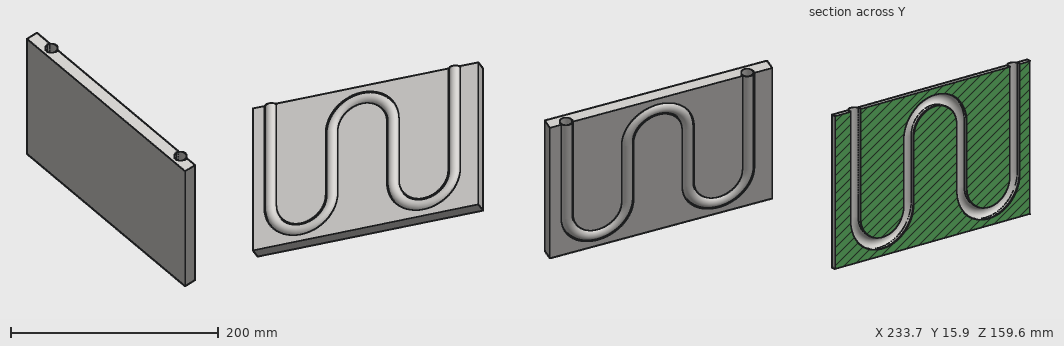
import cadquery as cq


plate_length = 233.68
plate_thickness = 12.7
plate_height = 159.6

overall_thickness = 15.9
tube_diameter = 12.7
tube_wall = 0.4
tube_radius = tube_diameter / 2
bore_radius = tube_radius - tube_wall
tube_axis_y = overall_thickness - tube_radius

leg_count = 4
bend_radius = 31.75
leg_spacing = 2 * bend_radius
route_offset_x = 3.4
bend_edge_margin = 13.3
first_leg_x = (plate_length - (leg_count - 1) * leg_spacing) / 2 + route_offset_x
low_bend_z = bend_edge_margin + bend_radius
high_bend_z = plate_height - low_bend_z


def serpentine_route():
    """Tube axis, from the top of the first leg to the top of the last one.

    Local coordinates are X and Z on a plane parallel to the back face.
    """
    plane = cq.Plane(origin=(0, tube_axis_y, 0), xDir=(1, 0, 0), normal=(0, -1, 0))
    route = cq.Workplane(plane).moveTo(first_leg_x, plate_height)
    for leg in range(leg_count - 1):
        leg_x = first_leg_x + leg * leg_spacing
        turns_at_bottom = leg % 2 == 0
        bend_z = low_bend_z if turns_at_bottom else high_bend_z
        crown_z = bend_z - bend_radius if turns_at_bottom else bend_z + bend_radius
        route = route.lineTo(leg_x, bend_z)
        route = route.threePointArc((leg_x + bend_radius, crown_z), (leg_x + leg_spacing, bend_z))
    last_leg_x = first_leg_x + (leg_count - 1) * leg_spacing
    return route.lineTo(last_leg_x, plate_height)


def section_at_inlet():
    """Workplane across the open end of the first leg, centred on the tube axis."""
    return cq.Workplane("XY", origin=(first_leg_x, tube_axis_y, plate_height))


def round_run(radius):
    return section_at_inlet().circle(radius).sweep(serpentine_route())


def groove():
    """U-shaped groove: round bottom with straight walls up to the back face."""
    wall_height = plate_thickness - tube_axis_y
    profile = (
        section_at_inlet()
        .moveTo(-tube_radius, wall_height)
        .lineTo(-tube_radius, 0)
        .threePointArc((0, -tube_radius), (tube_radius, 0))
        .lineTo(tube_radius, wall_height)
        .close()
    )
    return profile.sweep(serpentine_route())


plate = cq.Workplane("XY").box(plate_length, plate_thickness, plate_height, centered=False)
result = plate.cut(groove()).union(round_run(tube_radius)).cut(round_run(bore_radius))